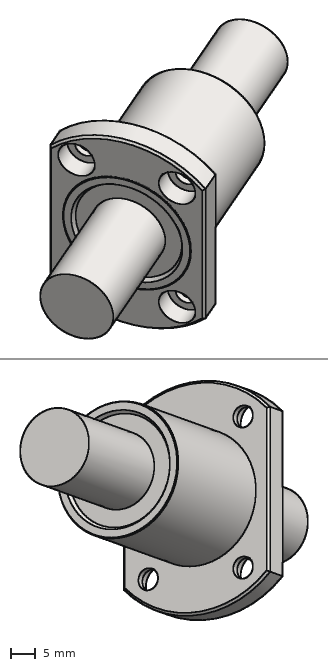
import cadquery as cq

shaft_length = 87.0
shaft_diameter = 16.0

body_length = 37.1
body_diameter = 28.0
flange_thickness = 6.0
flange_diameter = 47.9
flange_width = 34.0
flange_chamfer = 0.5

hole_diameter = 4.5
counterbore_diameter = 8.0
counterbore_depth = 4.4
hole_pitch_x = 22.0
hole_pitch_z = 31.0

recess_mouth_diameter = 24.4
recess_floor_diameter = 23.2
recess_depth = 1.0
rim_bevel_width = 0.2
rim_bevel_depth = 0.3

front_y = -body_length / 2
back_y = body_length / 2


def cylinder(diameter, start_y, length):
    """Cylinder on the Y axis, growing toward +Y from start_y."""
    plane = cq.Workplane("XZ", origin=(0, start_y, 0))
    return plane.circle(diameter / 2).extrude(-length)


def make_flange():
    """Round flange trimmed by two flats, with both rims chamfered."""
    disc = cylinder(flange_diameter, front_y, flange_thickness)
    trim = cq.Workplane("XY").box(flange_width, shaft_length, flange_diameter)
    return disc.intersect(trim).faces("<Y or >Y").edges().chamfer(flange_chamfer)


def mounting_holes():
    """Cutters for the four counterbored holes."""
    pattern = cq.Workplane("XZ", origin=(0, front_y, 0)).rarray(hole_pitch_x, hole_pitch_z, 2, 2)
    through = pattern.circle(hole_diameter / 2).extrude(-flange_thickness)
    counterbores = pattern.circle(counterbore_diameter / 2).extrude(-counterbore_depth)
    return through.union(counterbores)


def seal_recess(mouth_y, inward):
    """Conical recess cutter; inward is +1 or -1 along Y."""
    profile = [
        (0, mouth_y),
        (recess_mouth_diameter / 2, mouth_y),
        (recess_floor_diameter / 2, mouth_y + inward * recess_depth),
        (0, mouth_y + inward * recess_depth),
    ]
    return cq.Workplane("XY").polyline(profile).close().revolve(360, (0, 0, 0), (0, 1, 0))


def rim_bevel(end_y, inward):
    """Bevel cutter for one body rim; inside the flange it leaves a fine V groove."""
    outer_radius = body_diameter / 2
    profile = [
        (outer_radius - rim_bevel_width, end_y),
        (outer_radius, end_y),
        (outer_radius, end_y + inward * rim_bevel_depth),
    ]
    return cq.Workplane("XY").polyline(profile).close().revolve(360, (0, 0, 0), (0, 1, 0))


nut = cylinder(body_diameter, front_y, body_length).union(make_flange())
nut = nut.cut(mounting_holes())
for end_y, inward in ((front_y, 1), (back_y, -1)):
    nut = nut.cut(seal_recess(end_y, inward)).cut(rim_bevel(end_y, inward))

result = nut.union(cylinder(shaft_diameter, -shaft_length / 2, shaft_length))